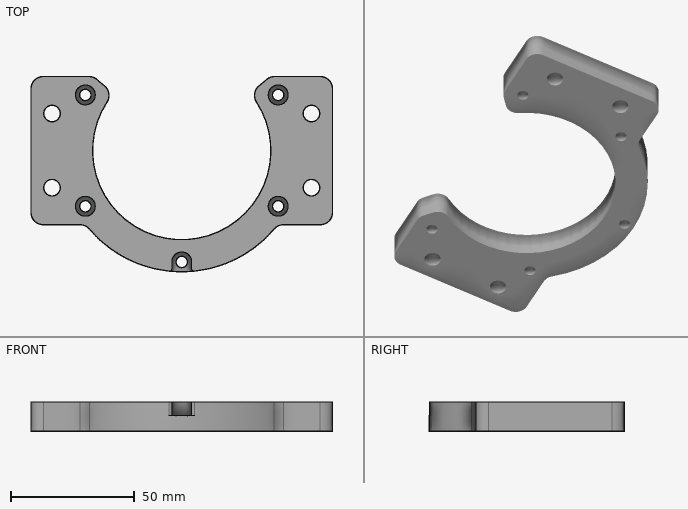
import cadquery as cq
import math

length = 122.0
plate_width = 60.0
thickness = 12.0
ring_radius = 49.0
bore_radius = 36.0
corner_radius = 5.0

end_face_angle = 40.0

mount_hole_diameter = 6.6
mount_spacing_x = 104.9
mount_spacing_y = 30.0

screw_circle_radius = 45.0
screw_angles = (-150, -90, -30, 30, 150)
screw_hole_diameter = 4.5
counterbore_diameter = 8.0
counterbore_depth = 5.6
slot_mouth_radius = 1.0


def make_body():
    """Plate joined to the front half of the ring, with the bore and opening cut out."""
    plate = cq.Workplane("XY").rect(length, plate_width).extrude(thickness)
    half_disc = (
        cq.Workplane("XY")
        .moveTo(-ring_radius, 0)
        .threePointArc((0, -ring_radius), (ring_radius, 0))
        .close()
        .extrude(thickness)
    )
    bore = cq.Workplane("XY").circle(bore_radius).extrude(thickness)
    opening_y = plate_width
    opening_x = opening_y / math.tan(math.radians(end_face_angle))
    opening = (
        cq.Workplane("XY")
        .polyline([(0, 0), (opening_x, opening_y), (-opening_x, opening_y)])
        .close()
        .extrude(thickness)
    )
    return plate.union(half_disc).cut(bore).cut(opening)


def cut_counterbore_slot(body):
    """Open the front counterbore through the outer wall and round its mouth."""
    slot_length = ring_radius
    slot = (
        cq.Workplane("XY", origin=(0, 0, thickness - counterbore_depth))
        .center(0, -screw_circle_radius - slot_length / 2)
        .rect(counterbore_diameter, slot_length)
        .extrude(counterbore_depth)
    )
    slot_half = counterbore_diameter / 2
    mouth_y = -math.sqrt(ring_radius**2 - slot_half**2)
    body = body.cut(slot)
    for side in (-1, 1):
        mouth_corner = (side * slot_half, mouth_y, thickness - counterbore_depth / 2)
        mouth_edge = cq.selectors.NearestToPointSelector(mouth_corner)
        body = body.edges("|Z").edges(mouth_edge).fillet(slot_mouth_radius)
    return body


body = make_body().edges("|Z").fillet(corner_radius)

body = cut_counterbore_slot(body)

screw_points = [
    (
        screw_circle_radius * math.cos(math.radians(angle)),
        screw_circle_radius * math.sin(math.radians(angle)),
    )
    for angle in screw_angles
]
top_plane = cq.Workplane("XY", origin=(0, 0, thickness))
screw_holes = top_plane.pushPoints(screw_points).circle(screw_hole_diameter / 2).extrude(-thickness)
counterbores = (
    top_plane.pushPoints(screw_points).circle(counterbore_diameter / 2).extrude(-counterbore_depth)
)
mount_holes = (
    top_plane.rarray(mount_spacing_x, mount_spacing_y, 2, 2)
    .circle(mount_hole_diameter / 2)
    .extrude(-thickness)
)

result = body.cut(screw_holes).cut(counterbores).cut(mount_holes)